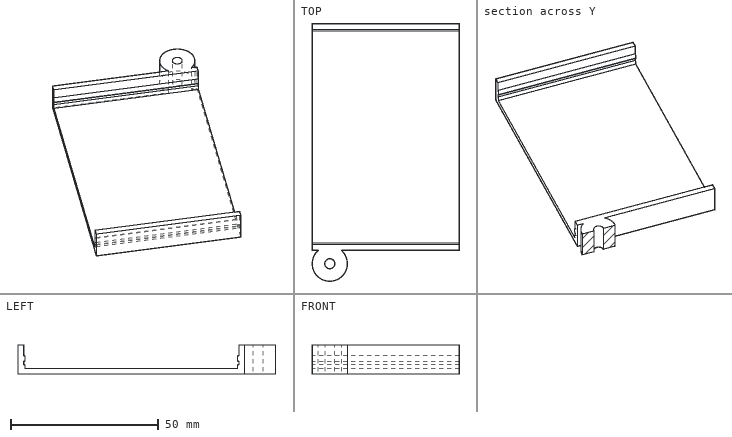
import cadquery as cq

tray_length = 50.0
tray_width = 77.0
tray_height = 10.0
floor_thickness = 2.0
wall_thickness = 2.0

rib_depth = 0.5
rib_round = 0.45
lower_rib_top = 3.25
upper_rib_bottom = 4.35
upper_rib_top = 6.35

boss_diameter = 12.0
boss_hole_diameter = 3.35
boss_offset = 4.5
boss_x = boss_diameter / 2
boss_y = -boss_offset


def make_floor():
    return cq.Workplane("XY").box(tray_length, tray_width, floor_thickness, centered=False)


def make_wall():
    """Plain wall on the y = 0 side."""
    return cq.Workplane("XY").box(tray_length, wall_thickness, tray_height, centered=False)


def make_rib(bottom, top, rounded_edges):
    """Rib standing out from the inner face of the wall, its chosen long edges rounded."""
    rib = cq.Workplane("XY").box(tray_length, wall_thickness + rib_depth, top - bottom, centered=False)
    rib = rib.translate((0, 0, bottom))
    return rib.faces(">Y").edges(rounded_edges).fillet(rib_round)


def make_boss():
    """Full-height cylinder that meets the outer face of the -Y wall."""
    cylinder = cq.Workplane("XY").center(boss_x, boss_y).circle(boss_diameter / 2).extrude(tray_height)
    tray_envelope = cq.Workplane("XY").box(tray_length, tray_width, tray_height, centered=False)
    return cylinder.cut(tray_envelope)


def make_boss_hole():
    """Through hole on the boss axis."""
    return cq.Workplane("XY").center(boss_x, boss_y).circle(boss_hole_diameter / 2).extrude(tray_height)


lower_rib = make_rib(0, lower_rib_top, ">Z")
upper_rib = make_rib(upper_rib_bottom, upper_rib_top, "|X")
near_wall = make_wall().union(lower_rib).union(upper_rib)
far_wall = near_wall.mirror("XZ", (0, tray_width / 2, 0))

result = make_floor().union(near_wall).union(far_wall).union(make_boss()).cut(make_boss_hole())